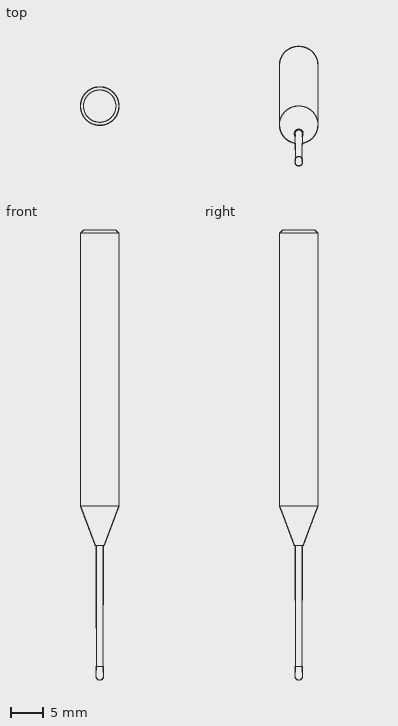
import cadquery as cq
import math

TOTAL_LENGTH = 70.0
SHANK_RADIUS = 3.0
SHANK_CHAMFER = 0.5

HEAD_RADIUS = 0.595
HEAD_LENGTH = 2.2
HEAD_LAND_TOP = 0.85
HEAD_TOP_RADIUS = 0.57

NECK_BOTTOM_RADIUS = 0.53
COLLAR_RADIUS = 0.55
COLLAR_BOTTOM = 20.0
CONE_BOTTOM = 20.9
CONE_BOTTOM_RADIUS = 0.7
CONE_TOP = 27.1

def revolve_about_z(profile):
    """Revolve a closed XZ half profile a full turn about the Z axis."""
    return profile.close().revolve(360, (0, 0, 0), (0, 1, 0))


def make_head():
    """Cutting head: hemispherical tip, short cylindrical land and slight back taper."""
    diagonal = HEAD_RADIUS * math.sqrt(0.5)
    profile = (
        cq.Workplane("XZ")
        .moveTo(0, 0)
        .threePointArc((diagonal, HEAD_RADIUS - diagonal), (HEAD_RADIUS, HEAD_RADIUS))
        .lineTo(HEAD_RADIUS, HEAD_LAND_TOP)
        .lineTo(HEAD_TOP_RADIUS, HEAD_LENGTH)
        .lineTo(0, HEAD_LENGTH)
    )
    return revolve_about_z(profile)


def make_shank():
    """Neck, collar, cone and chamfered shank turned as one piece."""
    profile = (
        cq.Workplane("XZ")
        .moveTo(0, HEAD_LENGTH)
        .lineTo(NECK_BOTTOM_RADIUS, HEAD_LENGTH)
        .lineTo(COLLAR_RADIUS, COLLAR_BOTTOM)
        .lineTo(COLLAR_RADIUS, CONE_BOTTOM)
        .lineTo(CONE_BOTTOM_RADIUS, CONE_BOTTOM)
        .lineTo(SHANK_RADIUS, CONE_TOP)
        .lineTo(SHANK_RADIUS, TOTAL_LENGTH - SHANK_CHAMFER)
        .lineTo(SHANK_RADIUS - SHANK_CHAMFER, TOTAL_LENGTH)
        .lineTo(0, TOTAL_LENGTH)
    )
    return revolve_about_z(profile)


head = make_head()
shank = make_shank()

result = cq.Compound.makeCompound([head.val(), shank.val()])